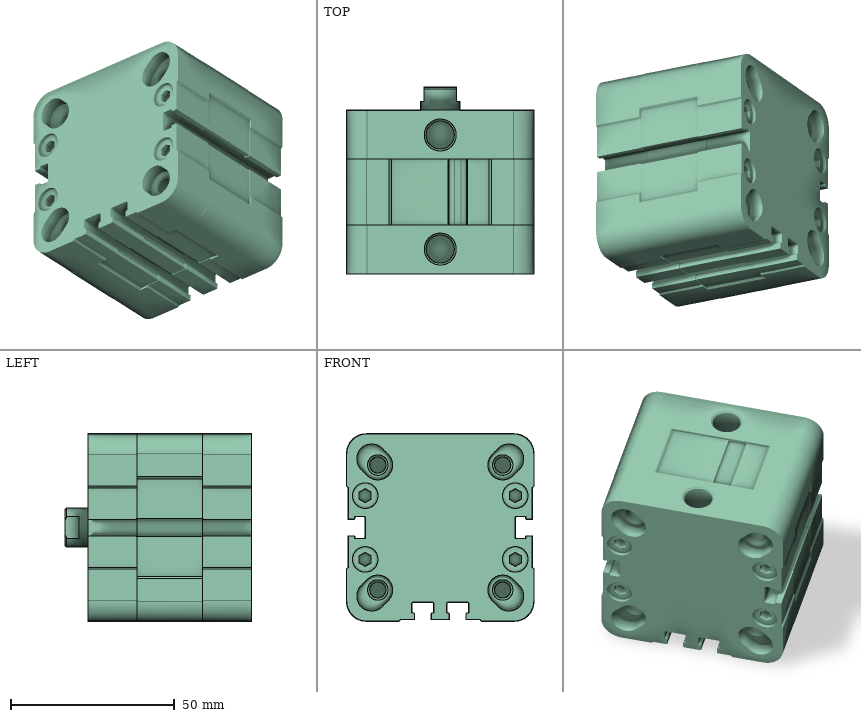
import cadquery as cq
import math

WIDTH = 57.2
HALF = WIDTH / 2
CAP_LENGTH = 15.0
BARREL_LENGTH = 20.0
BARREL_FRONT = CAP_LENGTH
REAR_CAP_FRONT = BARREL_FRONT + BARREL_LENGTH
REAR_FACE = REAR_CAP_FRONT + CAP_LENGTH
ROD_PROTRUSION = 7.05

CAP_RELIEF_DEPTH = 0.5
BARREL_RELIEF_DEPTH = 0.7
CAP_RELIEF_HALF_WIDTH = 12.65
BARREL_RELIEF_HALF_WIDTH = 15.55
CAP_CORNER_RADIUS = 6.3
BARREL_CORNER_RADIUS = 6.05

SLOT_OFFSET = 5.3
SLOT_HALF_WIDTH = 3.3
SLOT_STEP = 0.3
CAP_SLOT_DEPTH = 5.85
CAP_ENTRY_HALF_WIDTH = 2.5
CAP_LIP_DEPTH = 2.3
CAP_FLOOR_RADIUS = 0.5
BARREL_SLOT_DEPTH = 5.65
BARREL_ENTRY_HALF_WIDTH = 2.75
BARREL_LIP_DEPTH = 1.9

GROOVE_HALF_WIDTH = 2.7
GROOVE_DEPTH = 1.2
GROOVE_CHAMFER = 0.25
CROWN_FLAT_HALF_WIDTH = 1.05
CROWN_RADIUS = 5.15

PORT_DIAMETER = 8.6
PORT_CHAMFER = 0.6
PORT_DEPTH = 8.6
PORT_FROM_END = 7.6

MOUNT_OFFSET = 19.05
MOUNT_DIAMETER = 4.9
MOUNT_RIM_DIAMETER = 6.25
MOUNT_DEPTH = 8.6
MOUNT_RECESS_RADIUS = 4.5
MOUNT_RECESS_DEPTH = 4.25
RECESS_END_OFFSET = 20.95

SCREW_X = 22.9
SCREW_Z = 9.7
SCREW_HEAD_DIAMETER = 7.8
SCREW_HEAD_SINK = 1.05
SOCKET_ACROSS_FLATS = 3.65
SOCKET_DEPTH = 2.85

ROD_DIAMETER = 12.0
ROD_CHAMFER = 0.6
ROD_ACROSS_FLATS = 10.0
ROD_FLAT_LENGTH = 4.4


def front_plane(y):
    """Sketch plane across the part: local x is X, local y is Z, extrusion runs toward +Y."""
    return cq.Workplane(cq.Plane(origin=(0, y, 0), xDir=(1, 0, 0), normal=(0, -1, 0)))


def prism(sketch, length):
    return sketch.extrude(-length)


def turned(tool, degrees):
    """Turn a tool made for the top side about the part's Y axis; 90 brings it to +X."""
    return tool.rotate((0, 0, 0), (0, 1, 0), degrees)


def rounded_block(y, length, corner_radius):
    return prism(front_plane(y).rect(WIDTH, WIDTH), length).edges("|Y").fillet(corner_radius)


def side_relief(y, length, half_width, depth):
    """Recess cutter for the top side."""
    floor_half_width = half_width - depth
    outline = [
        (-half_width, HALF),
        (-floor_half_width, HALF - depth),
        (floor_half_width, HALF - depth),
        (half_width, HALF),
    ]
    return prism(front_plane(y).polyline(outline).close(), length)


def sensor_slot(y, length, x, depth, entry_half_width, lip_depth):
    """Undercut slot cutter for the top side, centred at x."""
    right = [
        (entry_half_width, HALF),
        (entry_half_width, HALF - lip_depth),
        (entry_half_width + SLOT_STEP, HALF - lip_depth - SLOT_STEP),
        (SLOT_HALF_WIDTH, HALF - lip_depth - SLOT_STEP),
        (SLOT_HALF_WIDTH, HALF - depth),
    ]
    left = [(-px, pz) for px, pz in reversed(right)]
    outline = [(x + px, pz) for px, pz in right + left]
    return prism(front_plane(y).polyline(outline).close(), length)


def cap_slot(y, x):
    slot = sensor_slot(y, CAP_LENGTH, x, CAP_SLOT_DEPTH, CAP_ENTRY_HALF_WIDTH, CAP_LIP_DEPTH)
    return slot.faces("<Z").edges("|Y").fillet(CAP_FLOOR_RADIUS)


def barrel_slot(x):
    return sensor_slot(
        BARREL_FRONT, BARREL_LENGTH, x, BARREL_SLOT_DEPTH, BARREL_ENTRY_HALF_WIDTH, BARREL_LIP_DEPTH
    )


def port(y):
    """Chamfered blind hole cutter going down from the top side."""
    hole = cq.Workplane("XY", origin=(0, y, HALF)).circle(PORT_DIAMETER / 2).extrude(-PORT_DEPTH)
    rim = (
        cq.Workplane("XY", origin=(0, y, HALF))
        .circle(PORT_DIAMETER / 2 + PORT_CHAMFER)
        .extrude(-PORT_CHAMFER, taper=45)
    )
    return hole.union(rim)


def make_cap(y, port_y):
    """End cap with reliefs on both flanks and underneath, sensor slots and an air port."""
    cap = rounded_block(y, CAP_LENGTH, CAP_CORNER_RADIUS)
    relief = side_relief(y, CAP_LENGTH, CAP_RELIEF_HALF_WIDTH, CAP_RELIEF_DEPTH)
    for angle in (90, 180, 270):
        cap = cap.cut(turned(relief, angle))
    for angle in (90, 270):
        cap = cap.cut(turned(cap_slot(y, 0), angle))
    for x in (-SLOT_OFFSET, SLOT_OFFSET):
        cap = cap.cut(turned(cap_slot(y, x), 180))
    return cap.cut(port(port_y))


def mounting_hole():
    """Slotted recess and chamfered blind hole cutter for the +X +Z corner of the front face."""
    centre = (MOUNT_OFFSET, MOUNT_OFFSET)
    recess_middle = (MOUNT_OFFSET + RECESS_END_OFFSET) / 2
    recess_length = math.sqrt(2) * (RECESS_END_OFFSET - MOUNT_OFFSET) + 2 * MOUNT_RECESS_RADIUS
    recess = prism(
        front_plane(0).center(recess_middle, recess_middle).slot2D(recess_length, 2 * MOUNT_RECESS_RADIUS, 45),
        MOUNT_RECESS_DEPTH,
    )
    hole = prism(front_plane(MOUNT_RECESS_DEPTH).center(*centre).circle(MOUNT_DIAMETER / 2), MOUNT_DEPTH)
    rim = (
        front_plane(MOUNT_RECESS_DEPTH)
        .center(*centre)
        .circle(MOUNT_RIM_DIAMETER / 2)
        .extrude(-(MOUNT_RIM_DIAMETER - MOUNT_DIAMETER) / 2, taper=45)
    )
    return recess.union(hole).union(rim)


def screw_recess(x, z):
    """Cutter that leaves a sunken screw head with a hexagon socket."""
    head = prism(front_plane(0).center(x, z).circle(SCREW_HEAD_DIAMETER / 2), SCREW_HEAD_SINK)
    across_corners = SOCKET_ACROSS_FLATS / math.cos(math.radians(30))
    socket = prism(
        front_plane(SCREW_HEAD_SINK)
        .transformed(offset=(x, z, 0), rotate=(0, 0, 30))
        .polygon(6, across_corners),
        SOCKET_DEPTH,
    )
    return head.union(socket)


def make_front_cap():
    cap = make_cap(0, PORT_FROM_END)
    for angle in (0, 90, 180, 270):
        cap = cap.cut(turned(mounting_hole(), angle))
    for x in (-SCREW_X, SCREW_X):
        for z in (-SCREW_Z, SCREW_Z):
            cap = cap.cut(screw_recess(x, z))
    return cap


def make_rear_cap():
    cap = make_cap(REAR_CAP_FRONT, REAR_FACE - PORT_FROM_END)
    rod_bore = prism(front_plane(REAR_CAP_FRONT).circle(ROD_DIAMETER / 2), CAP_LENGTH)
    return cap.cut(rod_bore)


def crowned_groove():
    """Groove cutter on top of the barrel: flat along the middle, falling in arcs to the sides."""
    fall_angle = math.asin((GROOVE_HALF_WIDTH - CROWN_FLAT_HALF_WIDTH) / CROWN_RADIUS)

    def crown_point(angle):
        return (
            CROWN_FLAT_HALF_WIDTH + CROWN_RADIUS * math.sin(angle),
            HALF - GROOVE_DEPTH - CROWN_RADIUS * (1 - math.cos(angle)),
        )

    def mirrored(point):
        return (-point[0], point[1])

    inner = crown_point(0)
    middle = crown_point(fall_angle / 2)
    outer = crown_point(fall_angle)
    relief_floor = HALF - BARREL_RELIEF_DEPTH
    chamfer_foot = (GROOVE_HALF_WIDTH, relief_floor - GROOVE_CHAMFER)
    chamfer_top = (GROOVE_HALF_WIDTH + GROOVE_CHAMFER, relief_floor)
    sketch = (
        front_plane(BARREL_FRONT)
        .center(SLOT_OFFSET, 0)
        .moveTo(*mirrored(inner))
        .lineTo(*inner)
        .threePointArc(middle, outer)
        .lineTo(*chamfer_foot)
        .lineTo(*chamfer_top)
        .lineTo(*mirrored(chamfer_top))
        .lineTo(*mirrored(chamfer_foot))
        .lineTo(*mirrored(outer))
        .threePointArc(mirrored(middle), mirrored(inner))
        .close()
    )
    return prism(sketch, BARREL_LENGTH)


def make_barrel():
    """Middle section with reliefs on all four sides, sensor slots and the top groove."""
    barrel = rounded_block(BARREL_FRONT, BARREL_LENGTH, BARREL_CORNER_RADIUS)
    relief = side_relief(BARREL_FRONT, BARREL_LENGTH, BARREL_RELIEF_HALF_WIDTH, BARREL_RELIEF_DEPTH)
    for angle in (0, 90, 180, 270):
        barrel = barrel.cut(turned(relief, angle))
    for angle in (90, 270):
        barrel = barrel.cut(turned(barrel_slot(0), angle))
    for x in (-SLOT_OFFSET, SLOT_OFFSET):
        barrel = barrel.cut(turned(barrel_slot(x), 180))
    return barrel.cut(crowned_groove())


def make_rod():
    """Rod seated in the rear cap, with a chamfered tip and two wrench flats facing X."""
    tip = REAR_FACE + ROD_PROTRUSION
    rod = prism(front_plane(REAR_CAP_FRONT).circle(ROD_DIAMETER / 2), tip - REAR_CAP_FRONT)
    rod = rod.faces(">Y").chamfer(ROD_CHAMFER)
    envelope = prism(front_plane(tip - ROD_FLAT_LENGTH).circle(ROD_DIAMETER), ROD_FLAT_LENGTH)
    between_flats = prism(
        front_plane(tip - ROD_FLAT_LENGTH).rect(ROD_ACROSS_FLATS, 2 * ROD_DIAMETER), ROD_FLAT_LENGTH
    )
    return rod.cut(envelope.cut(between_flats))


front_cap = make_front_cap()
barrel = make_barrel()
rear_cap = make_rear_cap()
rod = make_rod()

result = cq.Compound.makeCompound([front_cap.val(), barrel.val(), rear_cap.val(), rod.val()])